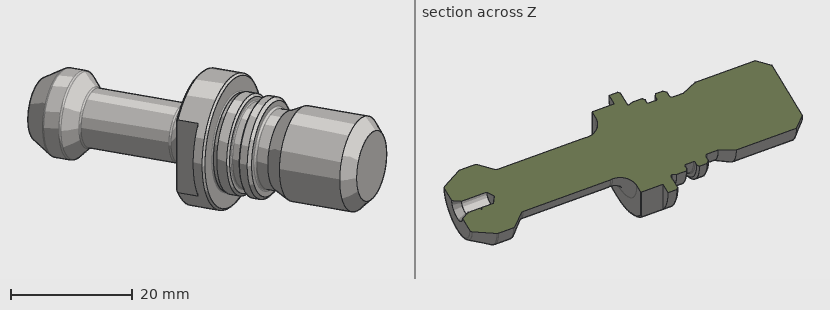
import cadquery as cq
import math

length = 60.0

head_radius = 15.0 / 2
nose_radius = 10.5 / 2
nose_angle = 30.0
head_end = 6.95
head_blend = 0.5

stem_radius = 10.0 / 2
stem_end_radius = 9.9 / 2
taper_length = 0.35
stem_fillet = 3.0

flange_radius = 23.0 / 2
flange_start = 28.9
flange_thickness = 6.0
flange_chamfer = 0.35
flat_spacing = 19.0
flat_length = 4.0
flat_chamfer = 0.2

land_radius = 17.15 / 2
undercut_radius = 16.6 / 2
undercut_length = 0.25
lead_in_length = 0.7
root_fillet = 0.2
groove_radius = 14.6 / 2
groove_start = 38.0
groove_width = 1.75
pilot_end = 41.95
land_chamfer_length = 0.3
land_chamfer_height = 0.5
pilot_end_chamfer = 0.55

neck_radius = 13.5 / 2
neck_end = 44.3
neck_fillet = 0.35
shank_radius = 16.0 / 2
shank_start = 47.0
shank_chamfer = 2.1

hole_radius = 2.5 / 2
hole_mouth_radius = 4.15 / 2
hole_depth = 6.0
countersink_half_angle = 30.0
drill_half_angle = 59.0

flange_end = flange_start + flange_thickness
nose_length = (head_radius - nose_radius) / math.tan(math.radians(nose_angle))
head_back_end = head_end + head_radius - stem_radius
fillet_start = flange_start - stem_fillet
groove_end = groove_start + groove_width
undercut_end = flange_end + undercut_length


def revolve_about_x(profile):
    """Turn a closed XY profile a full revolution about the X axis."""
    return profile.close().revolve(360, (0, 0, 0), (1, 0, 0))


def make_head_and_stem():
    """Double-cone head on a plain stem, with every head corner blended."""
    profile = (
        cq.Workplane("XY")
        .lineTo(0, nose_radius)
        .lineTo(nose_length, head_radius)
        .lineTo(head_end, head_radius)
        .lineTo(head_back_end, stem_radius)
        .lineTo(fillet_start - taper_length, stem_radius)
        .lineTo(fillet_start - taper_length, 0)
    )
    solid = revolve_about_x(profile)
    blended_edges = cq.selectors.BoxSelector(
        (-0.6, -flange_radius, -flange_radius),
        (head_back_end + 0.6, flange_radius, flange_radius),
        boundingbox=True,
    )
    return solid.edges("%CIRCLE").edges(blended_edges).fillet(head_blend)


def make_flange():
    """Tapered stem end and flange, with two opposite chamfered wrench flats."""
    fillet_top = stem_end_radius + stem_fillet
    diagonal = stem_fillet * math.sqrt(0.5)
    profile = (
        cq.Workplane("XY")
        .moveTo(fillet_start - taper_length, 0)
        .lineTo(fillet_start - taper_length, stem_radius)
        .lineTo(fillet_start, stem_end_radius)
        .threePointArc(
            (fillet_start + diagonal, fillet_top - diagonal),
            (flange_start, fillet_top),
        )
        .lineTo(flange_start, flange_radius - flange_chamfer)
        .lineTo(flange_start + flange_chamfer, flange_radius)
        .lineTo(flange_end - flange_chamfer, flange_radius)
        .lineTo(flange_end, flange_radius - flange_chamfer)
        .lineTo(flange_end, 0)
    )
    solid = revolve_about_x(profile)
    half_spacing = flat_spacing / 2
    flat_end = flange_start + flat_length
    for side in (1, -1):
        flat_cut = (
            cq.Workplane("XY")
            .moveTo(flange_start, side * (half_spacing - flat_chamfer))
            .lineTo(flange_start + flat_chamfer, side * half_spacing)
            .lineTo(flat_end, side * half_spacing)
            .lineTo(flat_end, side * flange_radius)
            .lineTo(flange_start, side * flange_radius)
            .close()
            .extrude(flange_radius, both=True)
        )
        solid = solid.cut(flat_cut)
    return solid


def make_pilot_and_shank():
    """Grooved pilot, neck with a root fillet, and chamfered shank."""
    profile = (
        cq.Workplane("XY")
        .moveTo(flange_end, 0)
        .lineTo(flange_end, undercut_radius + root_fillet)
        .radiusArc((flange_end + root_fillet, undercut_radius), -root_fillet)
        .lineTo(undercut_end, undercut_radius)
        .lineTo(undercut_end + lead_in_length, land_radius)
        .lineTo(groove_start - land_chamfer_length, land_radius)
        .lineTo(groove_start, land_radius - land_chamfer_height)
        .lineTo(groove_start, groove_radius + root_fillet)
        .radiusArc((groove_start + root_fillet, groove_radius), -root_fillet)
        .lineTo(groove_end - root_fillet, groove_radius)
        .radiusArc((groove_end, groove_radius + root_fillet), -root_fillet)
        .lineTo(groove_end, land_radius - land_chamfer_height)
        .lineTo(groove_end + land_chamfer_length, land_radius)
        .lineTo(pilot_end - pilot_end_chamfer, land_radius)
        .lineTo(pilot_end, land_radius - pilot_end_chamfer)
        .lineTo(pilot_end, neck_radius + neck_fillet)
        .radiusArc((pilot_end + neck_fillet, neck_radius), -neck_fillet)
        .lineTo(neck_end, neck_radius)
        .lineTo(shank_start, shank_radius)
        .lineTo(length - shank_chamfer, shank_radius)
        .lineTo(length, shank_radius - shank_chamfer)
        .lineTo(length, 0)
    )
    return revolve_about_x(profile)


def make_centre_hole():
    """Countersunk blind hole with a drill-point bottom."""
    countersink_depth = (hole_mouth_radius - hole_radius) / math.tan(math.radians(countersink_half_angle))
    tip_depth = hole_radius / math.tan(math.radians(drill_half_angle))
    profile = (
        cq.Workplane("XY")
        .lineTo(0, hole_mouth_radius)
        .lineTo(countersink_depth, hole_radius)
        .lineTo(hole_depth, hole_radius)
        .lineTo(hole_depth + tip_depth, 0)
    )
    return revolve_about_x(profile)


result = (
    make_head_and_stem()
    .union(make_flange())
    .union(make_pilot_and_shank())
    .cut(make_centre_hole())
)